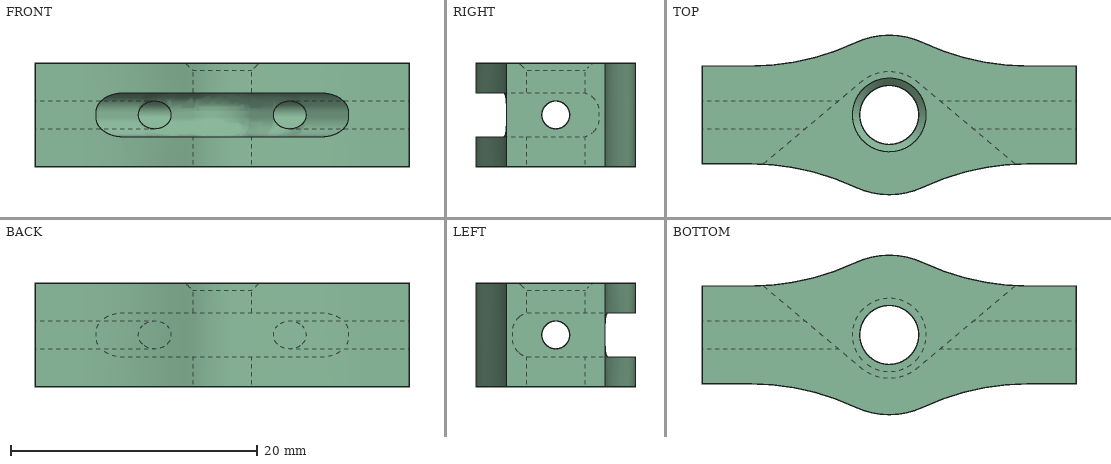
import cadquery as cq
import math

length = 30.42
width = 13.0
height = 8.43
end_width = 7.97
swell_length = 22.5

hub_hole_diameter = 4.78
countersink = 0.6

long_hole_diameter = 2.25

pocket_height = 3.55
pocket_floor_radius = 3.53
pocket_edge_fillet = 1.55
pocket_wall_angle = math.radians(40)

hub_radius = width / 2
half_length = length / 2
half_end = end_width / 2
half_swell = swell_length / 2


def make_body():
    slope = 2 * math.atan2(hub_radius - half_end, half_swell)
    flank_radius = half_swell / math.sin(slope) - hub_radius
    hub_x = hub_radius * math.sin(slope)
    hub_y = hub_radius * math.cos(slope)
    flank_mid_x = half_swell - flank_radius * math.sin(slope / 2)
    flank_mid_y = half_end + flank_radius * (1 - math.cos(slope / 2))
    return (
        cq.Workplane("XY")
        .workplane(offset=-height / 2)
        .moveTo(-half_length, half_end)
        .lineTo(-half_swell, half_end)
        .threePointArc((-flank_mid_x, flank_mid_y), (-hub_x, hub_y))
        .threePointArc((0, hub_radius), (hub_x, hub_y))
        .threePointArc((flank_mid_x, flank_mid_y), (half_swell, half_end))
        .lineTo(half_length, half_end)
        .lineTo(half_length, -half_end)
        .lineTo(half_swell, -half_end)
        .threePointArc((flank_mid_x, -flank_mid_y), (hub_x, -hub_y))
        .threePointArc((0, -hub_radius), (-hub_x, -hub_y))
        .threePointArc((-flank_mid_x, -flank_mid_y), (-half_swell, -half_end))
        .lineTo(-half_length, -half_end)
        .close()
        .extrude(height)
    )


def make_pocket():
    mouth_y = -width
    arc_x = pocket_floor_radius * math.sin(pocket_wall_angle)
    arc_y = pocket_floor_radius * math.cos(pocket_wall_angle)
    mouth_x = arc_x + (arc_y - mouth_y) / math.tan(pocket_wall_angle)
    return (
        cq.Workplane("XY")
        .workplane(offset=-pocket_height / 2)
        .moveTo(-mouth_x, mouth_y)
        .lineTo(-arc_x, arc_y)
        .threePointArc((0, pocket_floor_radius), (arc_x, arc_y))
        .lineTo(mouth_x, mouth_y)
        .close()
        .extrude(pocket_height)
    )


def make_hub_hole():
    hole_radius = hub_hole_diameter / 2
    hole = cq.Workplane("XY").circle(hole_radius).extrude(height, both=True)
    cone = cq.Solid.makeCone(
        hole_radius, hole_radius + countersink, countersink,
        pnt=cq.Vector(0, 0, height / 2 - countersink),
    )
    return hole.union(cq.Workplane(cone))


def make_long_hole():
    return cq.Workplane("YZ").circle(long_hole_diameter / 2).extrude(length, both=True)


def is_pocket_wall_edge(edge):
    box = edge.BoundingBox()
    tolerance = 0.0003
    level = box.zlen < tolerance
    at_floor_or_roof = abs(abs(edge.Center().z) - pocket_height / 2) < tolerance
    if not (level and at_floor_or_roof):
        return False
    if edge.geomType() == "CIRCLE":
        return abs(edge.radius() - pocket_floor_radius) < tolerance
    return edge.geomType() == "LINE"


body = make_body().cut(make_pocket()).cut(make_hub_hole()).cut(make_long_hole())
wall_edges = [edge for edge in body.edges().vals() if is_pocket_wall_edge(edge)]
result = body.newObject(wall_edges).fillet(pocket_edge_fillet)